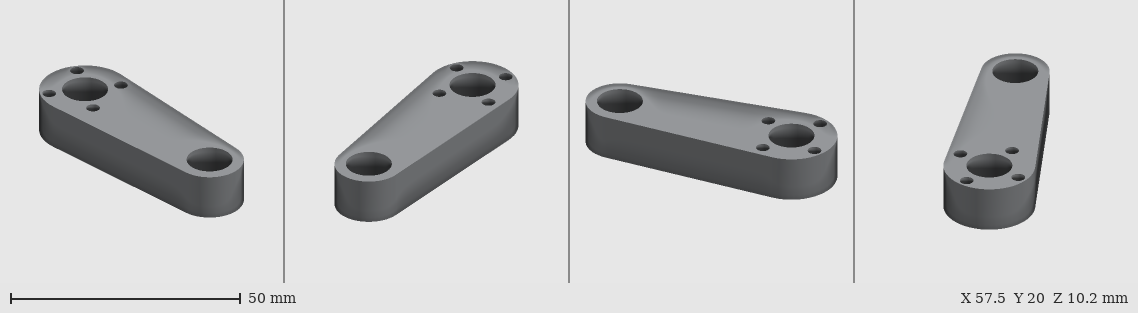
import cadquery as cq
import math

length = 57.45
thickness = 10.2
large_end_radius = 10.0
small_end_radius = 7.45
bore_diameter = 10.0
bolt_hole_diameter = 3.0
bolt_circle_radius = 8.0
bolt_hole_count = 4
first_bolt_angle = 60.0

center_distance = length - large_end_radius - small_end_radius

flank_normal_angle = math.acos((large_end_radius - small_end_radius) / center_distance)


def tangent_point(center_x, radius, side):
    """Point where a flank meets a rounded end; side is +1 or -1 in Y."""
    return (
        center_x + radius * math.cos(flank_normal_angle),
        side * radius * math.sin(flank_normal_angle),
    )


def make_arm():
    """Tapered arm with two rounded ends."""
    return (
        cq.Workplane("XY")
        .moveTo(*tangent_point(0, large_end_radius, 1))
        .threePointArc((-large_end_radius, 0), tangent_point(0, large_end_radius, -1))
        .lineTo(*tangent_point(center_distance, small_end_radius, -1))
        .threePointArc(
            (center_distance + small_end_radius, 0),
            tangent_point(center_distance, small_end_radius, 1),
        )
        .close()
        .extrude(thickness)
    )


def make_bores():
    """Through bores at the centres of both ends."""
    return (
        cq.Workplane("XY")
        .pushPoints([(0, 0), (center_distance, 0)])
        .circle(bore_diameter / 2)
        .extrude(thickness)
    )


def make_bolt_holes():
    """Ring of through holes around the bore of the large end."""
    return (
        cq.Workplane("XY")
        .polarArray(bolt_circle_radius, first_bolt_angle, 360, bolt_hole_count)
        .circle(bolt_hole_diameter / 2)
        .extrude(thickness)
    )


result = make_arm().cut(make_bores()).cut(make_bolt_holes())